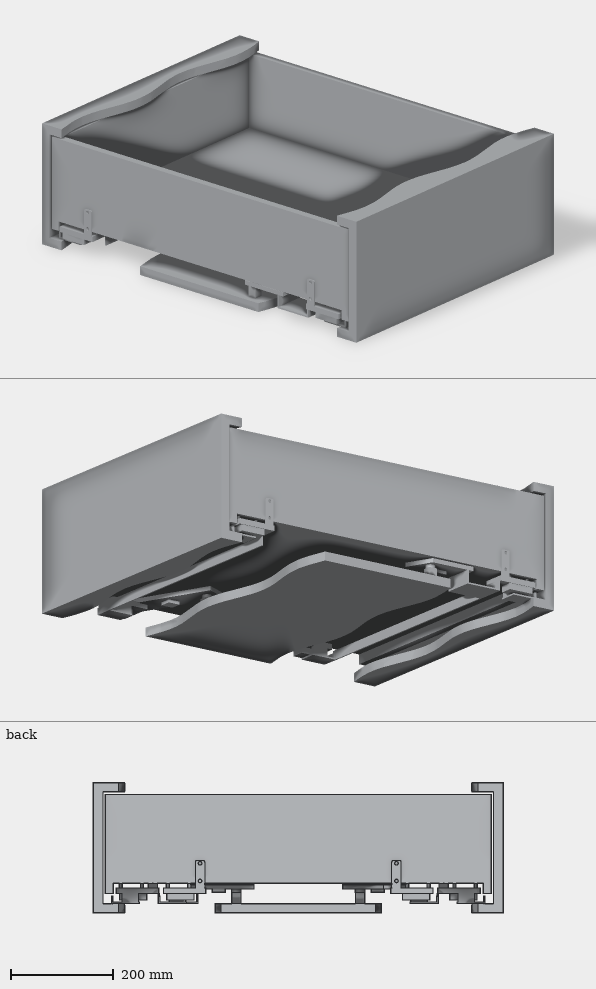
import cadquery as cq
import math

LENGTH = 800.0
WIDTH = 600.0
HEIGHT = 254.0

PANEL_WALL = 19.0
LIP_THICKNESS = 18.0
WAVE_MEAN = 350.0
WAVE_HEIGHT = 12.0
WAVE_COUNT = 2
POINTS_PER_WAVE = 8
HANDLE_INSET = 200.0

SIDE_GAP = 4.0
FACE_INSET = 2.0
BOX_WALL = 16.0
BOX_TOP = 231.0
BOX_BOTTOM = 58.0
FLOOR_TOP = 75.0
SKIRT_BOTTOM = 38.0
SKIRT_THICKNESS = 16.0
BOX_HALF_X = LENGTH / 2 - PANEL_WALL - SIDE_GAP
BOX_HALF_Y = WIDTH / 2 - FACE_INSET

CLIP_X = -355.0
CLIP_PITCH = 92.0
SLAB_LENGTH = 83.0
SLAB_DEPTH = 48.0
SLAB_TOP = 49.0
SLAB_BOTTOM = SKIRT_BOTTOM
PEG_DIAMETER = 6.5
PEG_PLACES = (9.0, 50.0)
PEG_SETBACK = 16.0
JAW_START = 6.0
JAW_LENGTH = 54.0
JAW_BOTTOM = 25.0
JAW_SETBACK = 2.0
JAW_DEPTH = 28.0
POST_START = 11.0
POST_LENGTH = 33.0
POST_DEPTH = 8.0
SHEET = 3.0
FOOT_START = -10.0
FOOT_LENGTH = 55.0
FOOT_FLANGE_TOP = 33.0
FOOT_SETBACK = 10.0
FOOT_DEPTH = SLAB_DEPTH - FOOT_SETBACK

STRAP_START = 62.0
STRAP_WIDTH = 18.0
STRAP_TOP = 102.0
STRAP_ROUND = 3.0
RIVET_HOLE = 7.0
RIVET_HEIGHTS = (62.0, 97.0)

RAIL_OVERLAP = 2.0
RAIL_LAP = 8.0
TRAY_START = 195.0
TRAY_FRONT = -295.0
TRAY_DEPTH = 64.0
ARM_TOP = 55.0
ARM_BOTTOM = 46.0
ARM_ANGLE = 25.0
SLANT = math.tan(math.radians(ARM_ANGLE))
SLANTED_ARM_CORNER = (-136.0, 104.0)
SLANTED_ARM_WIDTH = 54.0
SLANTED_ARM_LENGTH = 188.0
STRAIGHT_ARM_START = 112.0
STRAIGHT_ARM_END = 210.0
STRAIGHT_ARM_DEPTH = 56.0
TAB_BOTTOM = 40.0
TAB_WIDTH = 26.0
TAB_DEPTH = 24.0
TAB_X = 155.0
PIN_X = 121.0
PIN_DIAMETER = 19.0
PIN_BLOCK = 18.0
PIN_BLOCK_TOP = 40.0
STRAIGHT_ARM_PIN_Y = -274.0
SLANTED_ARM_PIN_Y = 136.0


def box_between(x_range, y_range, z_range):
    """Box given by its low and high X, Y and Z."""
    sizes = [high - low for low, high in (x_range, y_range, z_range)]
    corner = (x_range[0], y_range[0], z_range[0])
    return cq.Workplane("XY").box(*sizes, centered=False).translate(corner)


def cylinder(diameter, x, y, bottom, top):
    return cq.Workplane("XY", origin=(x, y, bottom)).circle(diameter / 2).extrude(top - bottom)


def wave_points(mean_x):
    """Evenly spaced points on the wavy edge, from the -Y end to the +Y end."""
    count = WAVE_COUNT * POINTS_PER_WAVE
    points = []
    for i in range(count + 1):
        part = i / count
        x = mean_x - WAVE_HEIGHT * math.sin(2 * math.pi * WAVE_COUNT * part)
        points.append((x, WIDTH * (part - 0.5)))
    return points


def make_drawer_box():
    box = box_between((-BOX_HALF_X, BOX_HALF_X), (-BOX_HALF_Y, BOX_HALF_Y), (SKIRT_BOTTOM, BOX_TOP))
    inside_x = BOX_HALF_X - BOX_WALL
    inside_y = BOX_HALF_Y - BOX_WALL
    inside = box_between((-inside_x, inside_x), (-inside_y, inside_y), (FLOOR_TOP, BOX_TOP))
    skirt_x = BOX_HALF_X - SKIRT_THICKNESS
    underside = box_between((-skirt_x, skirt_x), (-BOX_HALF_Y, BOX_HALF_Y), (SKIRT_BOTTOM, BOX_BOTTOM))
    return box.cut(inside).cut(underside)


def make_left_panel():
    edge = wave_points(-WAVE_MEAN)
    outer = -LENGTH / 2
    panel = (
        cq.Workplane("XY")
        .moveTo(outer, -WIDTH / 2)
        .lineTo(*edge[0])
        .spline(edge[1:], includeCurrent=True)
        .lineTo(outer, WIDTH / 2)
        .close()
        .extrude(HEIGHT)
    )
    channel = box_between(
        (outer + PANEL_WALL, 0),
        (-WIDTH / 2, WIDTH / 2),
        (LIP_THICKNESS, HEIGHT - LIP_THICKNESS),
    )
    return panel.cut(channel)


def make_handle_board():
    left = wave_points(HANDLE_INSET - WAVE_MEAN)
    right = [(-x, y) for x, y in reversed(left)]
    return (
        cq.Workplane("XY")
        .moveTo(*left[0])
        .spline(left[1:], includeCurrent=True)
        .lineTo(*right[0])
        .spline(right[1:], includeCurrent=True)
        .close()
        .extrude(LIP_THICKNESS)
    )


def make_strap(start, face):
    """Strap flat on the -Y face of the box, with two rivet holes."""
    strap = box_between(
        (start, start + STRAP_WIDTH), (face, face + FACE_INSET), (SLAB_BOTTOM, STRAP_TOP)
    )
    strap = strap.edges("|Y and >Z").fillet(STRAP_ROUND)
    middle = start + STRAP_WIDTH / 2
    places = [(middle, height) for height in RIVET_HEIGHTS]
    holes = (
        cq.Workplane("XZ", origin=(0, face + FACE_INSET, 0))
        .pushPoints(places)
        .circle(RIVET_HOLE / 2)
        .extrude(FACE_INSET)
    )
    return strap.cut(holes)


def make_clip(x):
    """Clip on the -Y side whose slab has its outer end at x."""
    face = -WIDTH / 2
    inner = face + SLAB_DEPTH
    clip = box_between((x, x + SLAB_LENGTH), (face, inner), (SLAB_BOTTOM, SLAB_TOP))
    for place in PEG_PLACES:
        clip = clip.union(cylinder(PEG_DIAMETER, x + place, face + PEG_SETBACK, SLAB_TOP, BOX_BOTTOM))
    jaw_x = x + JAW_START
    jaw_y = face + JAW_SETBACK
    jaw = box_between(
        (jaw_x, jaw_x + JAW_LENGTH), (jaw_y, jaw_y + JAW_DEPTH), (JAW_BOTTOM, SLAB_BOTTOM)
    )
    post_x = x + POST_START
    post = box_between(
        (post_x, post_x + POST_LENGTH), (inner - POST_DEPTH, inner), (LIP_THICKNESS, SLAB_TOP)
    )
    foot_x = x + FOOT_START
    foot_y = face + FOOT_SETBACK
    foot = box_between(
        (foot_x, foot_x + FOOT_LENGTH),
        (foot_y, foot_y + FOOT_DEPTH),
        (LIP_THICKNESS, LIP_THICKNESS + SHEET),
    )
    flange = box_between(
        (foot_x, foot_x + SHEET), (foot_y, foot_y + FOOT_DEPTH), (LIP_THICKNESS, FOOT_FLANGE_TOP)
    )
    for piece in (jaw, post, foot, flange, make_strap(x + STRAP_START, face)):
        clip = clip.union(piece)
    return clip


def make_rail():
    """Upright strip that joins the outer clip's slab to the inner clip's foot."""
    start = CLIP_X + SLAB_LENGTH - RAIL_OVERLAP
    reach = WIDTH / 2 - SLAB_DEPTH + RAIL_LAP
    return box_between((start, start + SHEET), (-reach, reach), (LIP_THICKNESS, SLAB_BOTTOM))


def make_left_half():
    """Panel, outer clip at the front, inner clip at the back and the rail between them."""
    outer_clip = make_clip(CLIP_X)
    inner_clip = make_clip(CLIP_X + CLIP_PITCH).mirror("XZ")
    return make_left_panel().union(outer_clip).union(inner_clip).union(make_rail())


def make_tray():
    """Sheet tray from a wall under the straight arm to a wall in line with the right rail."""
    end = -(CLIP_X + SLAB_LENGTH - RAIL_OVERLAP)
    y_range = (TRAY_FRONT, TRAY_FRONT + TRAY_DEPTH)
    base = box_between((TRAY_START, end), y_range, (LIP_THICKNESS, LIP_THICKNESS + SHEET))
    arm_wall = box_between((TRAY_START, TRAY_START + SHEET), y_range, (LIP_THICKNESS, ARM_BOTTOM))
    rail_wall = box_between((end - SHEET, end), y_range, (LIP_THICKNESS, SLAB_BOTTOM))
    return base.union(arm_wall).union(rail_wall)


def make_pin(x, y):
    """Square block on the handle board with a round neck up to an arm."""
    block = box_between(
        (x - PIN_BLOCK / 2, x + PIN_BLOCK / 2),
        (y - PIN_BLOCK / 2, y + PIN_BLOCK / 2),
        (LIP_THICKNESS, PIN_BLOCK_TOP),
    )
    return block.union(cylinder(PIN_DIAMETER, x, y, PIN_BLOCK_TOP, ARM_BOTTOM))


def make_tab(x, y):
    """Small block hanging under an arm."""
    return box_between(
        (x - TAB_WIDTH / 2, x + TAB_WIDTH / 2), (y, y + TAB_DEPTH), (TAB_BOTTOM, ARM_BOTTOM)
    )


def make_slanted_arm():
    """Arm from the left pin back to the inner clip, turned about its front left corner."""
    arm = (
        cq.Workplane("XY")
        .rect(SLANTED_ARM_WIDTH, SLANTED_ARM_LENGTH, centered=False)
        .extrude(ARM_TOP - ARM_BOTTOM)
        .rotate((0, 0, 0), (0, 0, 1), ARM_ANGLE)
        .translate((*SLANTED_ARM_CORNER, ARM_BOTTOM))
    )
    tab_y = SLANTED_ARM_CORNER[1] + SLANTED_ARM_LENGTH / 2
    return arm.union(make_pin(-PIN_X, SLANTED_ARM_PIN_Y)).union(make_tab(-TAB_X, tab_y))


def make_straight_arm():
    """Arm from the right pin to the tray, with a slanted free end."""
    back = TRAY_FRONT + STRAIGHT_ARM_DEPTH
    arm = (
        cq.Workplane("XY", origin=(0, 0, ARM_BOTTOM))
        .moveTo(STRAIGHT_ARM_START, TRAY_FRONT)
        .lineTo(STRAIGHT_ARM_END, TRAY_FRONT)
        .lineTo(STRAIGHT_ARM_END, back)
        .lineTo(STRAIGHT_ARM_START - STRAIGHT_ARM_DEPTH * SLANT, back)
        .close()
        .extrude(ARM_TOP - ARM_BOTTOM)
    )
    return arm.union(make_pin(PIN_X, STRAIGHT_ARM_PIN_Y)).union(make_tab(TAB_X, back - TAB_DEPTH))


def make_frame():
    left_half = make_left_half()
    frame = left_half.union(left_half.mirror("YZ"))
    for piece in (make_handle_board(), make_tray(), make_slanted_arm(), make_straight_arm()):
        frame = frame.union(piece)
    return frame


drawer_box = make_drawer_box()
frame = make_frame()

result = cq.Compound.makeCompound([drawer_box.solids().val(), frame.solids().val()])